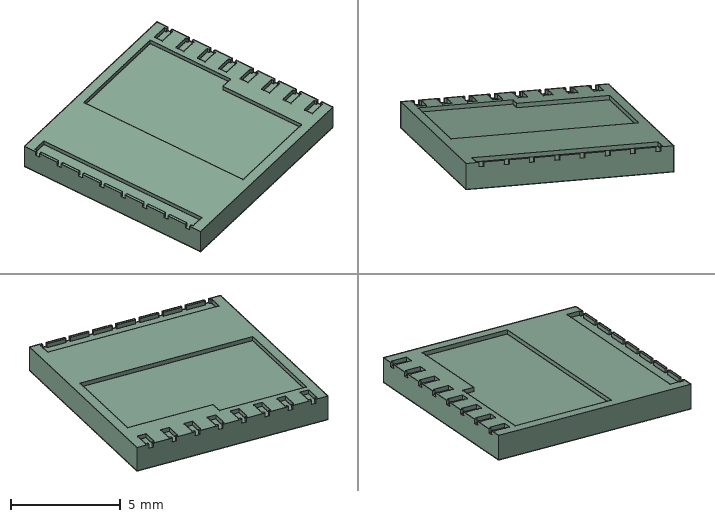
import cadquery as cq

LENGTH = 10.38
WIDTH = 9.9
THICKNESS = 1.25
RECESS_DEPTH = 0.21

PAD_COUNT = 8
PAD_PITCH = 1.2
NOTCH_WIDTH = 0.23
EDGE_WALL = 0.12

PAD_WIDTH = 0.45
PAD_LENGTH = 0.79

STRIP_LENGTH = 0.69

POCKET_WIDTH = 8.95
POCKET_BACK = 4.0
POCKET_FRONT = -1.19
STEP_X = 0.04
STEP_DEPTH = 0.6

HALF_LENGTH = LENGTH / 2
ROW_SPAN = (PAD_COUNT - 1) * PAD_PITCH
FLOOR_Z = THICKNESS - RECESS_DEPTH
PAD_POSITIONS = [i * PAD_PITCH - ROW_SPAN / 2 for i in range(PAD_COUNT)]


def recess():
    """Workplane on the common recess floor."""
    return cq.Workplane("XY").workplane(offset=FLOOR_Z)


def edge_notches(edge_y):
    """Notches through the thin wall on a Y edge, one for each pad."""
    centres = [(x, edge_y) for x in PAD_POSITIONS]
    return recess().pushPoints(centres).rect(NOTCH_WIDTH, 2 * EDGE_WALL).extrude(RECESS_DEPTH)


def pad_pockets():
    """Row of rectangular pockets behind the +Y edge wall."""
    centre_y = HALF_LENGTH - EDGE_WALL - PAD_LENGTH / 2
    centres = [(x, centre_y) for x in PAD_POSITIONS]
    return recess().pushPoints(centres).rect(PAD_WIDTH, PAD_LENGTH).extrude(RECESS_DEPTH)


def strip_pocket():
    """One long pocket behind the -Y edge wall, as wide as the whole pad row."""
    centre_y = -HALF_LENGTH + EDGE_WALL + STRIP_LENGTH / 2
    return recess().center(0, centre_y).rect(ROW_SPAN + PAD_WIDTH, STRIP_LENGTH).extrude(RECESS_DEPTH)


def central_pocket():
    """Large pocket whose back wall steps forward on the +X side."""
    side_x = POCKET_WIDTH / 2
    outline = [
        (-side_x, POCKET_FRONT),
        (side_x, POCKET_FRONT),
        (side_x, POCKET_BACK - STEP_DEPTH),
        (STEP_X, POCKET_BACK - STEP_DEPTH),
        (STEP_X, POCKET_BACK),
        (-side_x, POCKET_BACK),
    ]
    return recess().polyline(outline).close().extrude(RECESS_DEPTH)


plate = cq.Workplane("XY").box(WIDTH, LENGTH, THICKNESS, centered=(True, True, False))
result = (
    plate.cut(central_pocket())
    .cut(pad_pockets())
    .cut(strip_pocket())
    .cut(edge_notches(HALF_LENGTH))
    .cut(edge_notches(-HALF_LENGTH))
)